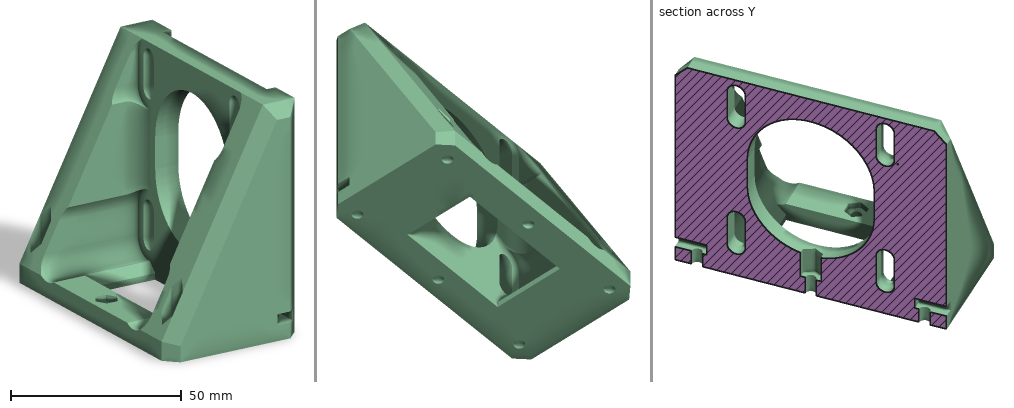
import cadquery as cq
import math

WIDTH = 86.0
DEPTH = 46.0
HEIGHT = 73.0
PLATE_THICKNESS = 11.0
FLOOR_THICKNESS = 6.0
SIDE_CHAMFER = 4.0

MOTOR_Z = 39.5
BOLT_SPACING = 47.14
SLOT_TRAVEL = 10.0
BOLT_SLOT_WIDTH = 5.6
RELIEF_WIDTH = 12.0
PILOT_WIDTH = 40.0

POCKET_WIDTH = 56.0
POCKET_CORNER_RADIUS = 5.0

SEAT_WIDTH = 57.0
SEAT_DEPTH = 3.0
SEAT_BOTTOM_Z = MOTOR_Z - SEAT_WIDTH / 2 - SLOT_TRAVEL / 2

WINDOW_BOTTOM_WIDTH = 40.0
WINDOW_LIP_HEIGHT = 2.0
WINDOW_TOP_WIDTH = WINDOW_BOTTOM_WIDTH + 2 * (FLOOR_THICKNESS - WINDOW_LIP_HEIGHT)
WINDOW_FRONT_Y = -35.2

SCREW_DIAMETER = 3.4
NUT_FLATS = 6.0
CENTRE_NUT_FLATS = 6.4
FRONT_NUT_Z = 4.0
SCREW_X = 36.0
SCREW_INSET = 5.5
FRONT_SCREW_Y = SCREW_INSET - DEPTH
REAR_SCREW_Y = -SCREW_INSET

SIDE_SLOT_Z = 5.0
SIDE_SLOT_HEIGHT = 3.4
SIDE_SLOT_LENGTH = 10.0


def make_body():
    """Wedge-shaped block with chamfered side faces, square along the base."""
    body = (
        cq.Workplane("YZ")
        .polyline([
            (0, 0),
            (-DEPTH, 0),
            (-DEPTH, FLOOR_THICKNESS),
            (-PLATE_THICKNESS, HEIGHT),
            (0, HEIGHT),
        ])
        .close()
        .extrude(WIDTH / 2, both=True)
    )
    base_edges = cq.selectors.BoxSelector(
        (-WIDTH, -2 * DEPTH, -1), (WIDTH, DEPTH, 1)
    )
    side_edges = cq.selectors.StringSyntaxSelector("<X or >X")
    rims = body.faces(side_edges).edges(cq.selectors.InverseSelector(base_edges))
    return rims.chamfer(SIDE_CHAMFER)


def vertical_slot(x, z, width, back_y, front_y):
    """Slot prism along Y whose long axis is vertical."""
    return (
        cq.Workplane("XZ", origin=(0, back_y, 0))
        .center(x, z)
        .slot2D(width + SLOT_TRAVEL, width, 90)
        .extrude(back_y - front_y)
    )


def make_pocket():
    """Space between the side walls, in front of the plate and above the floor."""
    return (
        cq.Workplane("XY")
        .box(POCKET_WIDTH, DEPTH, HEIGHT, centered=(True, False, False))
        .edges("(|Z and >Y) or (|Y and <Z)")
        .fillet(POCKET_CORNER_RADIUS)
        .translate((0, -PLATE_THICKNESS - DEPTH, FLOOR_THICKNESS))
    )


def make_window():
    """Opening in the floor: straight at the bottom, then flaring at 45 degrees."""
    return (
        cq.Workplane("XZ", origin=(0, -PLATE_THICKNESS, 0))
        .polyline([
            (-WINDOW_BOTTOM_WIDTH / 2, 0),
            (WINDOW_BOTTOM_WIDTH / 2, 0),
            (WINDOW_BOTTOM_WIDTH / 2, WINDOW_LIP_HEIGHT),
            (WINDOW_TOP_WIDTH / 2, FLOOR_THICKNESS),
            (-WINDOW_TOP_WIDTH / 2, FLOOR_THICKNESS),
            (-WINDOW_BOTTOM_WIDTH / 2, WINDOW_LIP_HEIGHT),
        ])
        .close()
        .extrude(-PLATE_THICKNESS - WINDOW_FRONT_Y)
    )


def make_motor_seat():
    """Shallow channel in the back face that locates the motor flange."""
    return cq.Workplane("XY", origin=(0, 0, SEAT_BOTTOM_Z)).box(
        SEAT_WIDTH, 2 * SEAT_DEPTH, HEIGHT, centered=(True, True, False)
    )


def make_screw_hole(x, y, top_z):
    """Vertical clearance hole rising from the base."""
    return cq.Workplane("XY", origin=(x, y, 0)).circle(SCREW_DIAMETER / 2).extrude(top_z)


def make_nut_pocket(x, y, flats, bottom_z, top_z):
    """Vertical hexagonal pocket with two flats facing the sides."""
    return (
        cq.Workplane("XY", origin=(x, y, bottom_z))
        .transformed(rotate=(0, 0, 90))
        .polygon(6, flats / math.cos(math.pi / 6))
        .extrude(top_z - bottom_z)
    )


def make_rear_nut_pocket():
    """Central rear nut pocket, open into the pilot opening and level with the seat."""
    nut = make_nut_pocket(0, REAR_SCREW_Y, CENTRE_NUT_FLATS, SEAT_BOTTOM_Z, MOTOR_Z)
    entry = cq.Workplane("XY", origin=(0, REAR_SCREW_Y, SEAT_BOTTOM_Z)).box(
        CENTRE_NUT_FLATS, SCREW_INSET, MOTOR_Z - SEAT_BOTTOM_Z, centered=(True, False, False)
    )
    return nut.union(entry)


def make_side_slot(side):
    """Rectangular nut slot entering one side face."""
    return cq.Workplane(
        "XY", origin=(side * WIDTH / 2, REAR_SCREW_Y, SIDE_SLOT_Z)
    ).box(2 * SIDE_SLOT_LENGTH, NUT_FLATS, SIDE_SLOT_HEIGHT, centered=(True, True, False))


result = make_body().cut(make_pocket()).cut(make_window()).cut(make_motor_seat())
result = result.cut(vertical_slot(0, MOTOR_Z, PILOT_WIDTH, 0, -PLATE_THICKNESS))

for side in (-1, 1):
    for level in (-1, 1):
        bolt_x = side * BOLT_SPACING / 2
        bolt_z = MOTOR_Z + level * BOLT_SPACING / 2
        result = result.cut(vertical_slot(bolt_x, bolt_z, BOLT_SLOT_WIDTH, 0, -PLATE_THICKNESS))
        result = result.cut(vertical_slot(bolt_x, bolt_z, RELIEF_WIDTH, -PLATE_THICKNESS, -DEPTH))
    result = result.cut(make_side_slot(side))

for screw_x in (-SCREW_X, 0, SCREW_X):
    flats = CENTRE_NUT_FLATS if screw_x == 0 else NUT_FLATS
    result = result.cut(make_screw_hole(screw_x, FRONT_SCREW_Y, HEIGHT))
    result = result.cut(make_nut_pocket(screw_x, FRONT_SCREW_Y, flats, FRONT_NUT_Z, HEIGHT))
    result = result.cut(make_screw_hole(screw_x, REAR_SCREW_Y, SEAT_BOTTOM_Z))

result = result.cut(make_rear_nut_pocket())